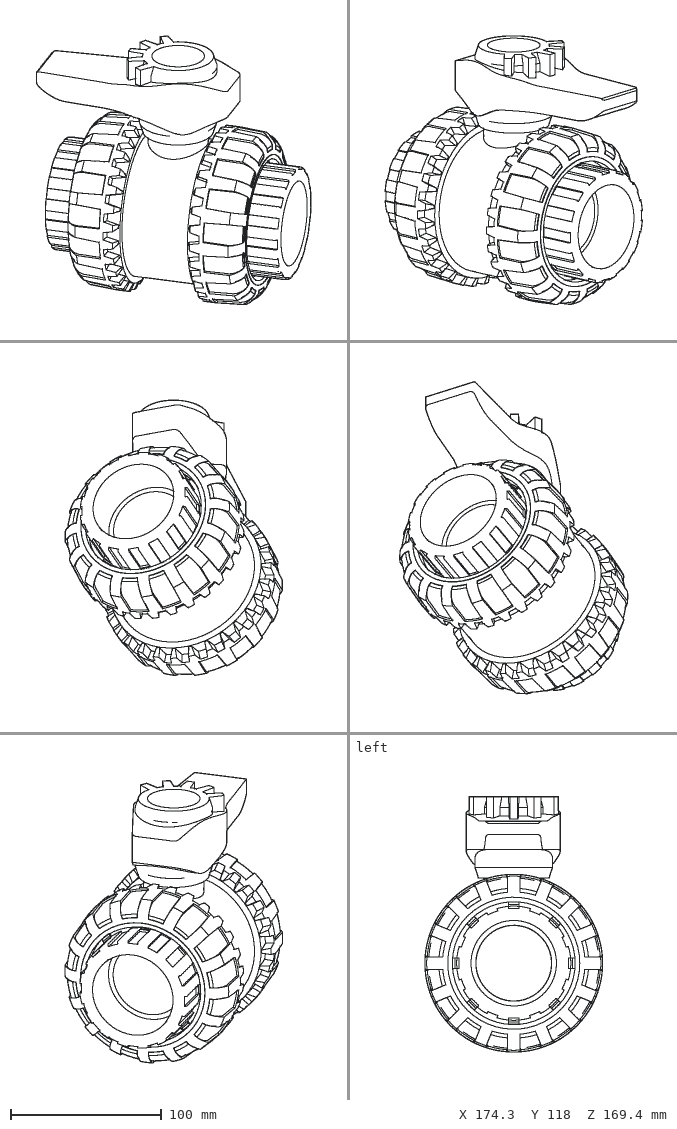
import cadquery as cq
import math


margin = 1.7

connector_end = 80.7
nut_outer_face = 61.2
nut_inner_face = 23.5
joint_face = 49.3
flange_outer_face = 54.0

bore_diameter = 50.0
socket_diameter = 56.7
body_diameter = 97.0
neck_diameter = 40.0
flange_diameter = 90.2
nut_hole_diameter = 81.5

pad_radius = 37.8
groove_radius = 36.3
pad_round = 1.2
pad_count = 8
pad_half_angle = 17.0
pad_slot_width = 6.8
lug_face = 55.8
slot_end = 57.5
lug_foot_radius = groove_radius - margin
lug_radius = 40.5
lug_slope_height = 1.5

rim_radius = 59.0
core_radius = 53.0
shoulder_position = 53.2
shoulder_radius = 57.7
round_end_radius = 47.0
round_middle = (58.0, 53.9)
rim_position = 34.9
lip_radius = 43.8
lip_recess = 0.3
tooth_count = 29
tooth_root = 33.3
tooth_shoulder = 26.9
tooth_tip = 24.5
tooth_foot = 1.4
tooth_root_lean = 0.7
tooth_gap_root = 5.2
tooth_gap_tip = 9.8
rib_count = 16
rib_width = 8.0
rib_width_wide = 10.0
grip_start = 36.1
grip_floor_radius = 57.5
grip_floor_bend_radius = 56.5
grip_floor_bend = 49.7
grip_floor_middle = (56.8, 54.4)
grip_floor_face = 60.7
grip_floor_face_radius = 49.7
grip_inner_radius = 47.3

handle_bottom = 56.3
handle_top = 110.4
hub_radius = 25.8
hub_end_radius = 23.5
hub_taper_height = 7.1
cap_diameter = 34.9
cap_thickness = 3.5
key_tooth_radius = 33.8
key_tooth_tip_width = 5.2
key_tooth_root_width = 6.8
key_tooth_pitch = 28.0
key_tooth_count = 5
key_tooth_base = 87.2
lever_tip = -93.6
lever_offset = 0.3
lever_tip_height = 92.6
lever_tip_underside = 85.5
lever_top = 94.2
lever_bottom = 75.5
grip_corner = -91.0
grip_flat_end = -43.2
grip_underside_end = -71.5
flare_start = -44.6
flare_bend = -34.7
flare_middle = -25.5
flare_end = -11.9
nose_start = -2.3
nose_corner = 35.4
nose_end = 38.7
tip_half_width = 15.7
corner_half_width = 18.3
flare_start_half_width = 21.6
flare_middle_half_width = 27.5
flare_end_half_width = 31.2
nose_start_half_width = 29.5
nose_corner_half_width = 17.0
nose_end_half_width = 13.3
crown_x = 10.6
crown_top = 102.2
flare_bend_top = 95.2
nose_end_top = 95.7
belly_x = 11.5
belly_bottom = 65.2
nose_end_bottom = 77.0


def revolve_about_x(outline):
    """Close and revolve an outline drawn as (axial, radial) points about the X axis."""
    return outline.close().revolve(360, (0, 0, 0), (1, 0, 0))


def tube(outer_radius, inner_radius, start, end):
    """Plain ring along X between two axial positions."""
    plane = cq.Workplane("YZ", origin=(start, 0, 0))
    return plane.circle(outer_radius).circle(inner_radius).extrude(end - start)


def ring_of(shape, count):
    """Copies of a shape spaced evenly about the X axis, as a list."""
    return [
        shape.rotate((0, 0, 0), (1, 0, 0), index * 360 / count)
        for index in range(count)
    ]


def fuse(shape, pieces):
    """Join several pieces to a shape in one operation."""
    return cq.Workplane(shape.val().fuse(*[piece.val() for piece in pieces]).clean())


def cut_away(shape, cutters):
    """Remove several cutters from a shape in one operation."""
    return cq.Workplane(shape.val().cut(*[cutter.val() for cutter in cutters]).clean())


def make_body():
    """Valve body: a straight bored barrel with an upright neck that carries the handle."""
    end_plane = cq.Workplane("YZ", origin=(-joint_face, 0, 0))
    barrel = end_plane.circle(body_diameter / 2).extrude(2 * joint_face)
    bore = end_plane.circle(bore_diameter / 2).extrude(2 * joint_face)
    neck = cq.Workplane("XY").circle(neck_diameter / 2).extrude(handle_bottom)
    return barrel.union(neck).cut(bore)


def make_connector():
    """End connector on the +X side."""
    length = connector_end - joint_face
    sleeve = tube(groove_radius, socket_diameter / 2, joint_face, connector_end)
    flange = tube(flange_diameter / 2, socket_diameter / 2, joint_face, flange_outer_face)
    pad_band = (
        tube(pad_radius, socket_diameter / 2, joint_face, connector_end)
        .faces(">X").edges(cq.selectors.RadiusNthSelector(-1)).fillet(pad_round)
    )
    reach = 2 * pad_radius
    spread = reach * math.tan(math.radians(pad_half_angle))
    sector = (
        cq.Workplane("YZ", origin=(joint_face, 0, 0))
        .polyline([(0, 0), (reach, -spread), (reach, spread)])
        .close()
        .extrude(length)
    )
    pads = [pad_band.intersect(piece) for piece in ring_of(sector, pad_count)]
    slot = (
        cq.Workplane("XY", origin=(slot_end, 0, groove_radius))
        .box(length, pad_slot_width, pad_radius, centered=(False, True, False))
    )
    lug = (
        cq.Workplane("XZ", origin=(0, pad_slot_width / 2, 0))
        .moveTo(joint_face, lug_foot_radius)
        .lineTo(lug_face, lug_foot_radius)
        .lineTo(lug_face, lug_radius - lug_slope_height)
        .lineTo(lug_face - lug_slope_height, lug_radius)
        .lineTo(joint_face, lug_radius)
        .close()
        .extrude(pad_slot_width)
    )
    connector = cut_away(fuse(sleeve, pads), ring_of(slot, pad_count))
    return fuse(connector.union(flange), ring_of(lug, pad_count))


def nut_blank():
    """Nut without grip pockets and teeth; its outer round runs tangent into the outer face."""
    outline = (
        cq.Workplane("XY")
        .moveTo(nut_inner_face, body_diameter / 2)
        .lineTo(nut_inner_face, core_radius)
        .lineTo(rim_position, core_radius)
        .lineTo(rim_position, rim_radius)
        .lineTo(shoulder_position, shoulder_radius)
        .spline(
            [round_middle, (nut_outer_face, round_end_radius)],
            tangents=[(2, -1), (0, -1)],
            includeCurrent=True,
        )
        .lineTo(nut_outer_face, lip_radius)
        .lineTo(nut_outer_face - lip_recess, lip_radius)
        .lineTo(nut_outer_face - lip_recess, nut_hole_diameter / 2)
        .lineTo(flange_outer_face, nut_hole_diameter / 2)
        .lineTo(flange_outer_face, flange_diameter / 2)
        .lineTo(joint_face, flange_diameter / 2)
        .lineTo(joint_face, body_diameter / 2)
    )
    return revolve_about_x(outline)


def nut_grip_cutter():
    """Ring of material between the grip ribs, down to the pocket floors."""
    outline = (
        cq.Workplane("XY")
        .moveTo(grip_start, grip_floor_radius)
        .lineTo(grip_floor_bend, grip_floor_bend_radius)
        .threePointArc(grip_floor_middle, (grip_floor_face, grip_floor_face_radius))
        .lineTo(grip_floor_face, grip_inner_radius)
        .lineTo(nut_outer_face + margin, grip_inner_radius)
        .lineTo(nut_outer_face + margin, rim_radius + margin)
        .lineTo(grip_start, rim_radius + margin)
    )
    cutter = revolve_about_x(outline)
    rib = (
        cq.Workplane("XY")
        .polyline([
            (grip_start - margin, -rib_width_wide / 2),
            (shoulder_position, -rib_width / 2),
            (nut_outer_face + 2 * margin, -rib_width / 2),
            (nut_outer_face + 2 * margin, rib_width / 2),
            (shoulder_position, rib_width / 2),
            (grip_start - margin, rib_width_wide / 2),
        ])
        .close()
        .extrude(rim_radius + 2 * margin)
    )
    return cut_away(cutter, ring_of(rib, rib_count))


def nut_tooth_gap():
    """Gap between two teeth on the +Y side: flared towards the tips, with a leaning end wall."""
    flare = (
        cq.Workplane("XZ", origin=(0, rim_radius + 2 * margin, 0))
        .polyline([
            (rim_position, -tooth_gap_root / 2),
            (tooth_root, -tooth_gap_root / 2),
            (nut_inner_face, -tooth_gap_tip / 2),
            (nut_inner_face, tooth_gap_tip / 2),
            (tooth_root, tooth_gap_root / 2),
            (rim_position, tooth_gap_root / 2),
        ])
        .close()
        .extrude(rim_radius)
    )
    side = (
        cq.Workplane("XY")
        .polyline([
            (nut_inner_face, core_radius - margin),
            (tooth_root - tooth_root_lean, core_radius - margin),
            (tooth_root - tooth_root_lean, core_radius),
            (tooth_root, rim_radius),
            (tooth_root, rim_radius + margin),
            (nut_inner_face, rim_radius + margin),
        ])
        .close()
        .extrude(tooth_gap_tip, both=True)
    )
    return flare.intersect(side)


def nut_teeth():
    """Ring of pointed teeth, sunk slightly into the core so that they join it cleanly."""
    slope = (tooth_shoulder - tooth_tip) / (rim_radius - core_radius)
    foot_radius = core_radius - tooth_foot
    outline = (
        cq.Workplane("XY")
        .moveTo(rim_position, foot_radius)
        .lineTo(tooth_tip - slope * tooth_foot, foot_radius)
        .lineTo(tooth_shoulder, rim_radius)
        .lineTo(rim_position, rim_radius)
    )
    return cut_away(revolve_about_x(outline), ring_of(nut_tooth_gap(), tooth_count))


def make_nut():
    """Union nut on the +X side."""
    return nut_blank().cut(nut_grip_cutter()).union(nut_teeth())


def lever_plan():
    """Lever outline seen from above, as a tall prism; one half drawn, then mirrored."""
    half = (
        cq.Workplane("XY")
        .moveTo(lever_tip, 0)
        .lineTo(lever_tip, tip_half_width)
        .threePointArc((-93.0, 17.5), (grip_corner, corner_half_width))
        .lineTo(flare_start, flare_start_half_width)
        .threePointArc((flare_bend, 23.9), (flare_middle, flare_middle_half_width))
        .threePointArc((-18.8, 30.2), (flare_end, flare_end_half_width))
        .threePointArc((-7.0, 30.7), (nose_start, nose_start_half_width))
        .lineTo(nose_corner, nose_corner_half_width)
        .threePointArc((37.7, 15.5), (nose_end, nose_end_half_width))
        .lineTo(nose_end, 0)
        .close()
        .extrude(handle_top)
    )
    return half.union(half.mirror("XZ")).translate((0, lever_offset, 0))


def lever_profile():
    """Lever outline seen along Y, as a wide prism."""
    prism_half_width = flare_end_half_width + 5 * margin
    crown_points = [
        (flare_middle, 97.5),
        (flare_end, 99.7),
        (crown_x, crown_top),
        (26.0, 99.7),
        (nose_end, nose_end_top),
    ]
    belly_points = [
        (26.0, 71.1),
        (belly_x, belly_bottom),
        (nose_start, 70.1),
        (flare_end, 74.1),
        (flare_middle, lever_bottom),
    ]
    grip_curve_points = [(-83.7, 78.5), (lever_tip, lever_tip_underside)]
    return (
        cq.Workplane("XZ", origin=(0, prism_half_width, 0))
        .moveTo(lever_tip, lever_tip_underside)
        .lineTo(lever_tip, lever_tip_height)
        .lineTo(-92.2, 93.8)
        .lineTo(grip_corner, lever_top)
        .lineTo(grip_flat_end, lever_top)
        .threePointArc((-38.4, 94.5), (flare_bend, flare_bend_top))
        .spline(crown_points, includeCurrent=True)
        .lineTo(nose_end, nose_end_bottom)
        .lineTo(nose_corner, lever_bottom)
        .spline(belly_points, tangents=[(-2, -1), (-1, 0)], includeCurrent=True)
        .lineTo(grip_underside_end, lever_bottom)
        .spline(grip_curve_points, tangents=[(-1, 0), (-1, 1)], includeCurrent=True)
        .close()
        .extrude(2 * prism_half_width)
    )


def handle_hub():
    """Round hub, tapered alike at both ends."""
    return (
        cq.Workplane("XZ")
        .moveTo(0, handle_bottom)
        .lineTo(hub_end_radius, handle_bottom)
        .lineTo(hub_radius, handle_bottom + hub_taper_height)
        .lineTo(hub_radius, handle_top - hub_taper_height)
        .lineTo(hub_end_radius, handle_top)
        .lineTo(0, handle_top)
        .close()
        .revolve(360, (0, 0, 0), (0, 1, 0))
    )


def key_teeth():
    """Upright teeth fanned about the -X direction, as a list."""
    tip_half = key_tooth_tip_width / 2
    root_half = key_tooth_root_width / 2
    tooth = (
        cq.Workplane("XY", origin=(0, 0, key_tooth_base))
        .polyline([
            (0, -root_half),
            (-hub_end_radius, -root_half),
            (-key_tooth_radius, -tip_half),
            (-key_tooth_radius, tip_half),
            (-hub_end_radius, root_half),
            (0, root_half),
        ])
        .close()
        .extrude(handle_top - key_tooth_base)
    )
    middle = (key_tooth_count - 1) / 2
    return [
        tooth.rotate((0, 0, 0), (0, 0, 1), (index - middle) * key_tooth_pitch)
        for index in range(key_tooth_count)
    ]


def make_handle():
    """Lever, hub and key teeth as one piece, recessed for the cap."""
    lever = lever_plan().intersect(lever_profile())
    return fuse(lever.union(handle_hub()), key_teeth()).cut(make_cap())


def make_cap():
    """Round cap flush with the top of the handle; it also shapes its own recess there."""
    base = cq.Workplane("XY", origin=(0, 0, handle_top - cap_thickness))
    return base.circle(cap_diameter / 2).extrude(cap_thickness)


body = make_body()
handle = make_handle()
cap = make_cap()
end_angles = (0, 180)
connector = make_connector()
nut = make_nut()
connectors = [connector.rotate((0, 0, 0), (0, 0, 1), angle) for angle in end_angles]
nuts = [nut.rotate((0, 0, 0), (0, 0, 1), angle) for angle in end_angles]

result = cq.Compound.makeCompound([
    body.val(),
    handle.val(),
    cap.val(),
    *[piece.val() for piece in connectors],
    *[piece.val() for piece in nuts],
])